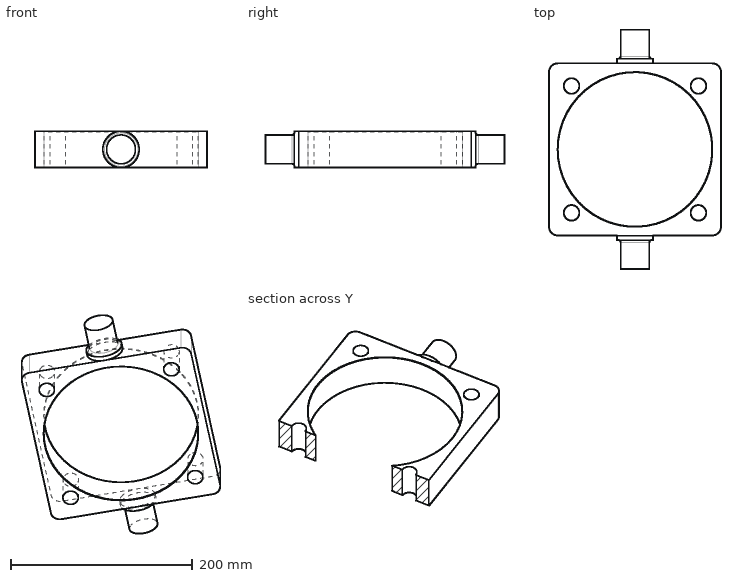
import cadquery as cq

side = 190.0
thickness = 40.0
corner_radius = 10.0
bore_diameter = 170.0
bore_chamfer = 0.5

hole_diameter = 17.0
hole_spacing = 140.0

overall_length = 264.0
pin_diameter = 32.0
collar_diameter = 40.0
collar_length = 5.0
root_fillet = 2.5


def make_frame():
    frame = cq.Workplane("XY").box(side, side, thickness)
    frame = frame.edges("|Z").fillet(corner_radius)
    frame = frame.faces(">Z").workplane().hole(bore_diameter)
    rims = frame.faces("<Z or >Z").edges("%CIRCLE").edges(cq.selectors.RadiusNthSelector(-1))
    frame = rims.chamfer(bore_chamfer)
    return (
        frame.faces(">Z").workplane()
        .rect(hole_spacing, hole_spacing, forConstruction=True)
        .vertices().hole(hole_diameter)
    )


def make_trunnion():
    """Half profile of the +Y pin and collar, revolved about the Y axis."""
    wall = (side - bore_diameter) / 2
    root = (side - wall) / 2
    pin_radius = pin_diameter / 2
    collar_radius = collar_diameter / 2
    collar_end = side / 2 + collar_length
    tip = overall_length / 2
    return (
        cq.Workplane("XY")
        .moveTo(0, root)
        .lineTo(collar_radius, root)
        .lineTo(collar_radius, collar_end)
        .lineTo(pin_radius + root_fillet, collar_end)
        .radiusArc((pin_radius, collar_end + root_fillet), root_fillet)
        .lineTo(pin_radius, tip)
        .lineTo(0, tip)
        .close()
        .revolve(360, (0, 0, 0), (0, 1, 0))
    )


trunnion = make_trunnion()
result = make_frame().union(trunnion).union(trunnion.mirror("XZ"))